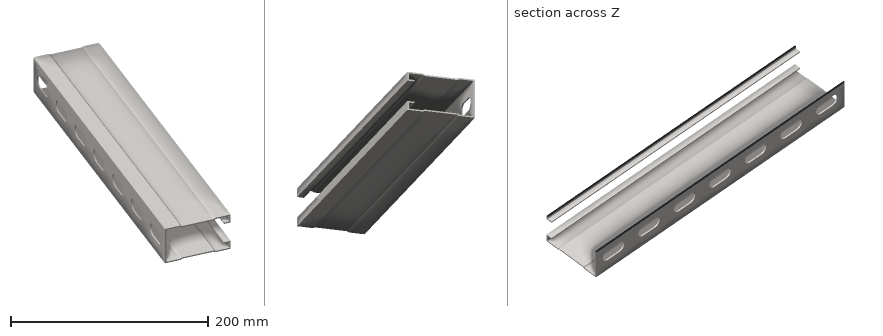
import cadquery as cq
import math

length = 350.0
depth = 72.0
height = 41.3
thickness = 1.5

opening = 22.0
lip_return = 7.5

step_margin = 17.0
step_run = 1.5
step_drop = 1.0

slot_count = 7
slot_pitch = 50.0
slot_length = 30.0
slot_width = 14.0

half_depth = depth / 2
half_height = height / 2
half_opening = opening / 2


def flange_half():
    """Upper half of the channel: half web, stepped flange and returned lip."""
    web_y = -half_depth
    lip_y = half_depth
    step_outer = half_depth - step_margin
    step_inner = step_outer - step_run
    bend_shift = thickness * math.tan(math.atan2(step_drop, step_run) / 2)
    under_outer = step_outer + bend_shift
    under_inner = step_inner + bend_shift
    under = half_height - thickness
    outline = [
        (web_y, 0),
        (web_y, half_height),
        (-step_outer, half_height),
        (-step_inner, half_height - step_drop),
        (step_inner, half_height - step_drop),
        (step_outer, half_height),
        (lip_y, half_height),
        (lip_y, half_opening),
        (lip_y - lip_return, half_opening),
        (lip_y - lip_return, half_opening + thickness),
        (lip_y - thickness, half_opening + thickness),
        (lip_y - thickness, under),
        (under_outer, under),
        (under_inner, under - step_drop),
        (-under_inner, under - step_drop),
        (-under_outer, under),
        (web_y + thickness, under),
        (web_y + thickness, 0),
    ]
    return cq.Workplane("YZ").polyline(outline).close().extrude(length / 2, both=True)


def slot_cutters():
    """Round-ended slots reaching just through the web at -Y."""
    return (
        cq.Workplane("XZ", origin=(0, -half_depth, 0))
        .rarray(slot_pitch, 3.5, slot_count, 1)
        .slot2D(slot_length, slot_width)
        .extrude(2 * thickness, both=True)
    )


upper = flange_half()
channel = upper.union(upper.mirror("XY")).clean()
result = channel.cut(slot_cutters())